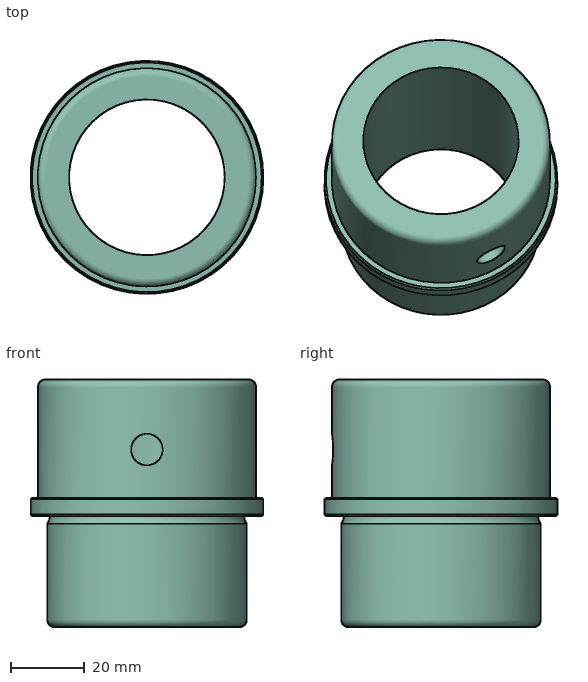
import cadquery as cq

height = 67.0
bore_diameter = 42.0

head_diameter = 59.0
collar_diameter = 63.05
spigot_diameter = 54.0

collar_bottom = 30.0
collar_thickness = 5.0
collar_top = collar_bottom + collar_thickness

end_fillet = 2.0
collar_chamfer = 0.5

relief_height = 2.0
relief_depth = 0.7
relief_radius = (relief_height**2 + relief_depth**2) / (2 * relief_depth)

hole_diameter = 8.5
hole_height = 48.05


def cylinder(diameter, bottom, top):
    """Upright cylinder on the Z axis between two heights."""
    return cq.Workplane("XY").workplane(offset=bottom).circle(diameter / 2).extrude(top - bottom)


def make_spigot():
    """Spigot below the collar, rounded at its free end and relieved at the collar."""
    radius = spigot_diameter / 2
    profile = (
        cq.Workplane("XZ")
        .lineTo(radius, 0)
        .lineTo(radius, collar_bottom - relief_height)
        .radiusArc((radius - relief_depth, collar_bottom), relief_radius)
        .lineTo(0, collar_bottom)
        .close()
    )
    return profile.revolve(360, (0, 0), (0, 1)).faces("<Z").edges().fillet(end_fillet)


collar = cylinder(collar_diameter, collar_bottom, collar_top).edges().chamfer(collar_chamfer)

head = cylinder(head_diameter, collar_top, height).faces(">Z").edges().fillet(end_fillet)

bore = cylinder(bore_diameter, 0, height)

radial_hole = (
    cq.Workplane("XZ")
    .center(0, hole_height)
    .circle(hole_diameter / 2)
    .extrude(head_diameter)
)

result = make_spigot().union(collar).union(head).cut(bore).cut(radial_hole)